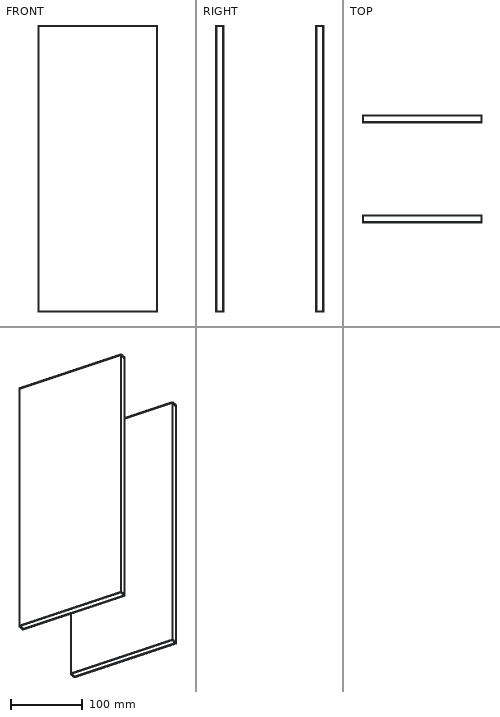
import cadquery as cq

plate_width = 166.0
plate_height = 400.0
overall_depth = 150.0
plate_thickness = 10.0

plate_offset = (overall_depth - plate_thickness) / 2


def side_plate(y_center):
    """Plain upright rectangular plate centred at the given Y."""
    plate = cq.Workplane("XY").box(plate_width, plate_thickness, plate_height)
    return plate.translate((0, y_center, 0))


side_plates = []
for side in (-1, 1):
    side_plates.append(side_plate(side * plate_offset).val())

result = cq.Compound.makeCompound(side_plates)